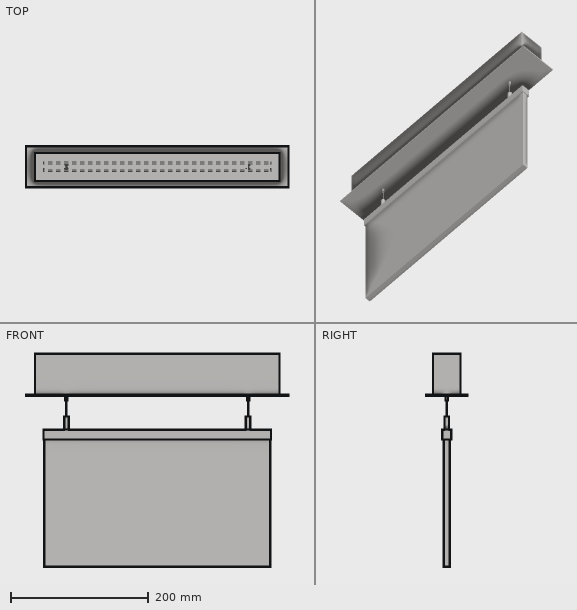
import cadquery as cq

total_height = 310.3

flange_length = 382.5
flange_width = 60.0
flange_thickness = 2.0

housing_length = 356.0
housing_width = 40.5
housing_height = 59.3

rail_length = 331.5
rail_width = 13.8
rail_height = 14.5

panel_length = 329.5
panel_width = 8.8
panel_height = 185.0

wire_spacing = 264.5
wire_diameter = 1.0
ferrule_diameter = 4.0
ferrule_length = 7.0
sleeve_diameter = 7.0
sleeve_length = 19.5

rail_top = panel_height + rail_height
sleeve_top = rail_top + sleeve_length
housing_bottom = total_height - housing_height
flange_bottom = housing_bottom - flange_thickness
ferrule_bottom = flange_bottom - ferrule_length


def centred_box(length, width, bottom, top):
    return (
        cq.Workplane("XY")
        .workplane(offset=bottom)
        .rect(length, width)
        .extrude(top - bottom)
    )


def upright_pin(x, diameter, bottom, top):
    return (
        cq.Workplane("XY")
        .workplane(offset=bottom)
        .center(x, 0)
        .circle(diameter / 2)
        .extrude(top - bottom)
    )


def suspension(x):
    """Sleeve on the rail, wire, and ferrule under the flange."""
    sleeve = upright_pin(x, sleeve_diameter, rail_top, sleeve_top)
    wire = upright_pin(x, wire_diameter, sleeve_top, ferrule_bottom)
    ferrule = upright_pin(x, ferrule_diameter, ferrule_bottom, flange_bottom)
    return sleeve.union(wire).union(ferrule)


panel = centred_box(panel_length, panel_width, 0, panel_height)
rail = centred_box(rail_length, rail_width, panel_height, rail_top)
flange = centred_box(flange_length, flange_width, flange_bottom, housing_bottom)
housing = centred_box(housing_length, housing_width, housing_bottom, total_height)

result = panel.union(rail)
for side in (-1, 1):
    result = result.union(suspension(side * wire_spacing / 2))
result = result.union(flange).union(housing)